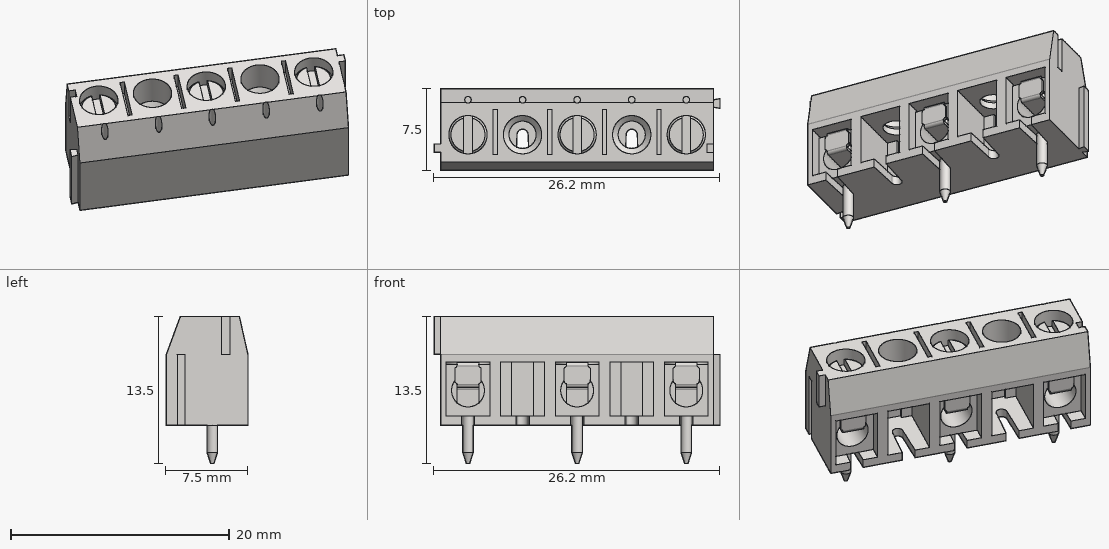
import cadquery as cq

TOTAL_LENGTH = 26.2
TONGUE_REACH = 0.6
BODY_LENGTH = TOTAL_LENGTH - 2 * TONGUE_REACH
BODY_DEPTH = 7.5
BODY_HEIGHT = 9.98
SHOULDER_DROP = 3.48
REAR_SETBACK = 1.28
FRONT_SETBACK = 0.79
SHOULDER_Z = BODY_HEIGHT - SHOULDER_DROP
FRONT_Y = -BODY_DEPTH / 2
REAR_Y = BODY_DEPTH / 2
END_X = BODY_LENGTH / 2

POLE_COUNT = 5
PITCH = BODY_LENGTH / POLE_COUNT
POLE_Y = -0.47
POLE_XS = [(i - (POLE_COUNT - 1) / 2) * PITCH for i in range(POLE_COUNT)]
FITTED_XS = POLE_XS[::2]

POCKET_WIDTH = 4.0
FLOOR_Z = 0.86
POCKET_TOP_Z = 5.8
POCKET_REAR_Y = POLE_Y + POCKET_WIDTH / 2
FLOOR_SLOT_MOUTH = 1.23

HEAD_DIAMETER = 3.5
SHANK_DIAMETER = 2.5
SEAT_Z = 6.95
SEAT_HEIGHT = (HEAD_DIAMETER - SHANK_DIAMETER) / 2
HEAD_TOP_Z = 8.99
HEAD_FACE_DIAMETER = 3.12
HEAD_CHAMFER = (HEAD_DIAMETER - HEAD_FACE_DIAMETER) / 2
DRIVER_SLOT_WIDTH = 0.79
DRIVER_SLOT_DEPTH = 0.79
SCREW_TIP_Z = 4.0

CLAMP_TOP_Z = 5.55
CLAMP_FRONT_Y = POLE_Y - POCKET_WIDTH / 2
WIRE_HOLE_DIAMETER = 3.0
WIRE_HOLE_Z = 3.2
PIN_DIAMETER = 1.0
PIN_TIP_DIAMETER = 0.31
PIN_TIP_HEIGHT = 1.05
PIN_BOTTOM_Z = -3.5

LEAF_THICKNESS = 0.3
LEAF_WIDTH = 2.0
LEAF_UNDERSIDE_Z = 3.45
BEND_RADIUS = 0.15
TAB_WIDTH = 2.4
TAB_BOTTOM_Z = LEAF_UNDERSIDE_Z + LEAF_THICKNESS
TAB_TOP_Z = 5.45
TAB_CORNER = 0.24
LEAF_TOP_Z = TAB_TOP_Z + LEAF_THICKNESS
LEAF_FRONT_Y = CLAMP_FRONT_Y - LEAF_THICKNESS
LEAF_REAR_Y = POCKET_REAR_Y + LEAF_THICKNESS

TOP_SLOT_WIDTH = 0.4
TOP_SLOT_LENGTH = 4.11
TOP_SLOT_DEPTH = 1.57
TOP_SLOT_Y = -0.24
TEST_HOLE_DIAMETER = 0.6
TEST_HOLE_Y = 2.72
TEST_HOLE_FLOOR_Z = SHOULDER_Z
KEY_WIDTH = 0.79
KEY_Y = -1.7
DOVETAIL_ROOT = 0.7
DOVETAIL_TIP = 0.92
DOVETAIL_Y = 2.38


def box(x_min, x_max, y_min, y_max, z_min, z_max):
    """Axis-aligned block given by its limits."""
    size = (x_max - x_min, y_max - y_min, z_max - z_min)
    return cq.Workplane("XY").box(*size, centered=False).translate((x_min, y_min, z_min))


def rod(diameter, x, y, z_min, z_max):
    """Upright cylinder."""
    return cq.Workplane("XY", origin=(x, y, z_min)).circle(diameter / 2).extrude(z_max - z_min)


def cone(bottom_diameter, top_diameter, x, y, z_min, z_max):
    """Upright truncated cone."""
    height = z_max - z_min
    solid = cq.Solid.makeCone(bottom_diameter / 2, top_diameter / 2, height, cq.Vector(x, y, z_min))
    return cq.Workplane("XY").newObject([solid])


def dovetail(root_x):
    """Dovetail bar that widens towards +X, from the mounting face up to the shoulder."""
    tip_x = root_x + TONGUE_REACH
    outline = [
        (root_x, DOVETAIL_Y - DOVETAIL_ROOT / 2),
        (tip_x, DOVETAIL_Y - DOVETAIL_TIP / 2),
        (tip_x, DOVETAIL_Y + DOVETAIL_TIP / 2),
        (root_x, DOVETAIL_Y + DOVETAIL_ROOT / 2),
    ]
    return cq.Workplane("XY").polyline(outline).close().extrude(SHOULDER_Z)


def key_bar(x_min):
    """Straight bar over the height of the tapered upper part."""
    y_min = KEY_Y - KEY_WIDTH / 2
    return box(x_min, x_min + TONGUE_REACH, y_min, y_min + KEY_WIDTH, SHOULDER_Z, BODY_HEIGHT)


def housing_block():
    """Block with both upper long sides tapered."""
    profile = [
        (FRONT_Y, 0),
        (REAR_Y, 0),
        (REAR_Y, SHOULDER_Z),
        (REAR_Y - REAR_SETBACK, BODY_HEIGHT),
        (FRONT_Y + FRONT_SETBACK, BODY_HEIGHT),
        (FRONT_Y, SHOULDER_Z),
    ]
    return cq.Workplane("YZ", origin=(-END_X, 0, 0)).polyline(profile).close().extrude(BODY_LENGTH)


def floor_slot(x):
    """Slot in the pocket floor, round at the pole and widening to the front."""
    half_end = PIN_DIAMETER / 2
    half_mouth = FLOOR_SLOT_MOUTH / 2
    return (
        cq.Workplane("XY")
        .moveTo(x - half_mouth, FRONT_Y)
        .lineTo(x + half_mouth, FRONT_Y)
        .lineTo(x + half_end, POLE_Y)
        .threePointArc((x, POLE_Y + half_end), (x - half_end, POLE_Y))
        .close()
        .extrude(FLOOR_Z)
    )


def pole_cavity(x):
    """Wire pocket, leaf recess, floor slot and stepped screw hole of one pole."""
    half_pocket = POCKET_WIDTH / 2
    half_recess = LEAF_WIDTH / 2
    pocket = box(x - half_pocket, x + half_pocket, FRONT_Y, POCKET_REAR_Y, FLOOR_Z, POCKET_TOP_Z)
    recess = box(x - half_recess, x + half_recess, POCKET_REAR_Y, LEAF_REAR_Y, FLOOR_Z, POCKET_TOP_Z)
    seat_bottom_z = SEAT_Z - SEAT_HEIGHT
    shank_hole = rod(SHANK_DIAMETER, x, POLE_Y, POCKET_TOP_Z, seat_bottom_z)
    seat = cone(SHANK_DIAMETER, HEAD_DIAMETER, x, POLE_Y, seat_bottom_z, SEAT_Z)
    head_hole = rod(HEAD_DIAMETER, x, POLE_Y, SEAT_Z, BODY_HEIGHT)
    return [pocket, recess, floor_slot(x), shank_hole, seat, head_hole]


def top_slot(x):
    """Narrow slot in the top between two poles."""
    return box(
        x - TOP_SLOT_WIDTH / 2,
        x + TOP_SLOT_WIDTH / 2,
        TOP_SLOT_Y - TOP_SLOT_LENGTH / 2,
        TOP_SLOT_Y + TOP_SLOT_LENGTH / 2,
        BODY_HEIGHT - TOP_SLOT_DEPTH,
        BODY_HEIGHT,
    )


def make_housing():
    housing = housing_block().union(key_bar(-END_X - TONGUE_REACH)).union(dovetail(END_X))
    housing = housing.cut(key_bar(END_X - TONGUE_REACH)).cut(dovetail(-END_X))
    for x in POLE_XS:
        for cavity in pole_cavity(x):
            housing = housing.cut(cavity)
        housing = housing.cut(rod(TEST_HOLE_DIAMETER, x, TEST_HOLE_Y, TEST_HOLE_FLOOR_Z, BODY_HEIGHT))
    for x in POLE_XS[:-1]:
        housing = housing.cut(top_slot(x + PITCH / 2))
    return housing


def make_clamp(x):
    """Clamp block with a round collar, a wire hole, a screw hole and a pointed solder pin."""
    half_width = POCKET_WIDTH / 2
    clamp = box(x - half_width, x + half_width, CLAMP_FRONT_Y, POCKET_REAR_Y, FLOOR_Z, CLAMP_TOP_Z)
    clamp = clamp.union(rod(POCKET_WIDTH, x, POLE_Y, CLAMP_TOP_Z, POCKET_TOP_Z))
    wire_hole = (
        cq.Workplane("XZ", origin=(x, POCKET_REAR_Y, WIRE_HOLE_Z))
        .circle(WIRE_HOLE_DIAMETER / 2)
        .extrude(POCKET_WIDTH)
    )
    clamp = clamp.cut(wire_hole).cut(rod(SHANK_DIAMETER, x, POLE_Y, WIRE_HOLE_Z, POCKET_TOP_Z))
    tip_top_z = PIN_BOTTOM_Z + PIN_TIP_HEIGHT
    pin = rod(PIN_DIAMETER, x, POLE_Y, tip_top_z, FLOOR_Z)
    tip = cone(PIN_TIP_DIAMETER, PIN_DIAMETER, x, POLE_Y, PIN_BOTTOM_Z, tip_top_z)
    return clamp.union(pin).union(tip)


def make_screw(x):
    """Slotted countersunk screw that fills the conical seat."""
    half_slot = DRIVER_SLOT_WIDTH / 2
    head_radius = HEAD_DIAMETER / 2
    seat_bottom_z = SEAT_Z - SEAT_HEIGHT
    chamfer_z = HEAD_TOP_Z - HEAD_CHAMFER
    slot = box(
        x - half_slot,
        x + half_slot,
        POLE_Y - head_radius,
        POLE_Y + head_radius,
        HEAD_TOP_Z - DRIVER_SLOT_DEPTH,
        HEAD_TOP_Z,
    )
    return (
        rod(SHANK_DIAMETER, x, POLE_Y, SCREW_TIP_Z, seat_bottom_z)
        .union(cone(SHANK_DIAMETER, HEAD_DIAMETER, x, POLE_Y, seat_bottom_z, SEAT_Z))
        .union(rod(HEAD_DIAMETER, x, POLE_Y, SEAT_Z, chamfer_z))
        .union(cone(HEAD_DIAMETER, HEAD_FACE_DIAMETER, x, POLE_Y, chamfer_z, HEAD_TOP_Z))
        .cut(slot)
    )


def make_leaf(x):
    """Wire guard: down behind the clamp, forward through its wire hole and up over its front."""
    strip = (
        cq.Workplane("YZ", origin=(x - LEAF_WIDTH / 2, 0, 0))
        .moveTo(POCKET_REAR_Y, FLOOR_Z)
        .lineTo(LEAF_REAR_Y, FLOOR_Z)
        .lineTo(LEAF_REAR_Y, TAB_BOTTOM_Z)
        .lineTo(CLAMP_FRONT_Y, TAB_BOTTOM_Z)
        .lineTo(CLAMP_FRONT_Y, LEAF_TOP_Z)
        .radiusArc((LEAF_FRONT_Y, TAB_TOP_Z), -LEAF_THICKNESS)
        .lineTo(LEAF_FRONT_Y, TAB_BOTTOM_Z)
        .radiusArc((CLAMP_FRONT_Y, LEAF_UNDERSIDE_Z), -LEAF_THICKNESS)
        .lineTo(POCKET_REAR_Y - BEND_RADIUS, LEAF_UNDERSIDE_Z)
        .radiusArc((POCKET_REAR_Y, LEAF_UNDERSIDE_Z - BEND_RADIUS), BEND_RADIUS)
        .close()
        .extrude(LEAF_WIDTH)
    )
    half_width = TAB_WIDTH / 2
    tab = box(x - half_width, x + half_width, LEAF_FRONT_Y, CLAMP_FRONT_Y, TAB_BOTTOM_Z, TAB_TOP_Z)
    return strip.union(tab.edges("|Y").chamfer(TAB_CORNER))


housing = make_housing()
clamps = [make_clamp(x) for x in FITTED_XS]
screws = [make_screw(x) for x in FITTED_XS]
leaves = [make_leaf(x) for x in FITTED_XS]

result = cq.Compound.makeCompound([body.val() for body in [housing, *clamps, *screws, *leaves]])